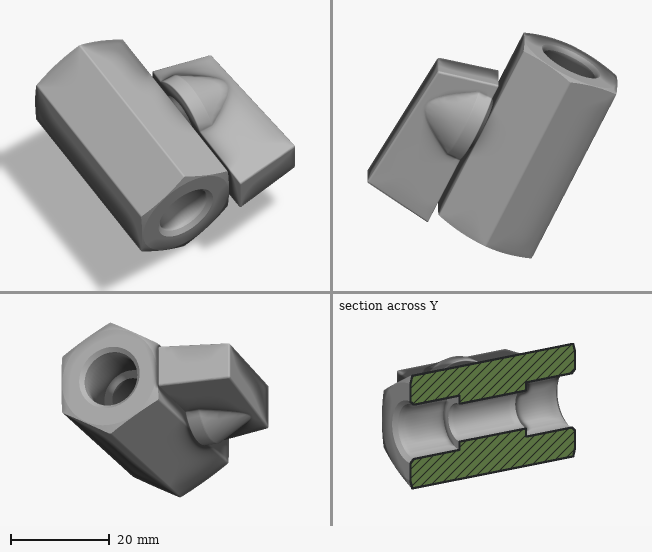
import cadquery as cq
import math

body_length = 40.0
across_flats = 21.0
hex_edge_radius = 0.5
end_chamfer_angle = 15.0
end_face_radius = 10.28

bore_diameter = 8.0
port_diameter = 11.45
port_depth = 11.9
port_mouth_diameter = 13.15

stem_diameter = 11.05
stem_root_y = 8.5
hub_diameter = 17.5
hub_height = 2.97
hub_cone_angle = 27.0

handle_base_y = 11.55
handle_rear_base_x = -10.45
handle_rear_top_x = -7.6
handle_rear_height = 12.4
handle_rear_base_thickness = 10.02
handle_rear_top_thickness = 9.35
handle_tip_base_x = 22.5
handle_tip_top_x = 20.35
handle_tip_height = 14.8
handle_tip_base_thickness = 8.6
handle_tip_top_thickness = 7.55
handle_edge_radius = 0.42
handle_base_radius = 0.2

half_length = body_length / 2
half_side_angle = 30.0
corner_radius = across_flats / 2 / math.cos(math.radians(half_side_angle))


def revolve_about_x(points):
    return cq.Workplane("XY").polyline(points).close().revolve(360, (0, 0, 0), (1, 0, 0))


def make_body():
    hexagon = (
        cq.Workplane("YZ")
        .polygon(6, 2 * corner_radius)
        .extrude(half_length, both=True)
        .rotate((0, 0, 0), (1, 0, 0), half_side_angle)
        .edges("|X")
        .fillet(hex_edge_radius)
    )
    chamfer_length = (corner_radius - end_face_radius) * math.tan(math.radians(end_chamfer_angle))
    shoulder_x = half_length - chamfer_length
    envelope = revolve_about_x([
        (-half_length, 0),
        (-half_length, end_face_radius),
        (-shoulder_x, corner_radius),
        (shoulder_x, corner_radius),
        (half_length, end_face_radius),
        (half_length, 0),
    ])
    return hexagon.intersect(envelope)


def make_bore():
    bore_radius = bore_diameter / 2
    port_radius = port_diameter / 2
    mouth_radius = port_mouth_diameter / 2
    port_bottom_x = half_length - port_depth
    mouth_bottom_x = half_length - (mouth_radius - port_radius)
    one_end = [
        (port_bottom_x, bore_radius),
        (port_bottom_x, port_radius),
        (mouth_bottom_x, port_radius),
        (half_length, mouth_radius),
        (half_length, 0),
    ]
    other_end = [(-x, r) for x, r in reversed(one_end)]
    return revolve_about_x(other_end + one_end)


def make_stem():
    return (
        cq.Workplane("XZ", origin=(0, stem_root_y, 0))
        .circle(stem_diameter / 2)
        .extrude(stem_root_y - handle_base_y)
    )


def handle_end(base_x, top_x, height, base_thickness, top_thickness):
    top_y = handle_base_y + height
    corners = [
        (base_x, handle_base_y, -base_thickness / 2),
        (base_x, handle_base_y, base_thickness / 2),
        (top_x, top_y, top_thickness / 2),
        (top_x, top_y, -top_thickness / 2),
    ]
    return cq.Wire.makePolygon([cq.Vector(*corner) for corner in corners], close=True)


def make_lever():
    rear = handle_end(
        handle_rear_base_x, handle_rear_top_x, handle_rear_height,
        handle_rear_base_thickness, handle_rear_top_thickness,
    )
    tip = handle_end(
        handle_tip_base_x, handle_tip_top_x, handle_tip_height,
        handle_tip_base_thickness, handle_tip_top_thickness,
    )
    return cq.Workplane(cq.Solid.makeLoft([rear, tip], True))


def make_hub():
    hub_radius = hub_diameter / 2
    cone_base_y = handle_base_y + hub_height
    cone_height = handle_rear_height - hub_height
    cone_top_radius = hub_radius - cone_height * math.tan(math.radians(hub_cone_angle))
    profile = [
        (0, handle_base_y),
        (hub_radius, handle_base_y),
        (hub_radius, cone_base_y),
        (cone_top_radius, cone_base_y + cone_height),
        (0, cone_base_y + cone_height),
    ]
    return cq.Workplane("XY").polyline(profile).close().revolve(360, (0, 0, 0), (0, 1, 0))


def make_handle():
    sharp_handle = make_lever().union(make_hub())
    rounded_sides = sharp_handle.edges("not <Y").fillet(handle_edge_radius)
    return rounded_sides.faces("<Y").edges().fillet(handle_base_radius)


result = make_body().union(make_stem()).union(make_handle()).cut(make_bore())